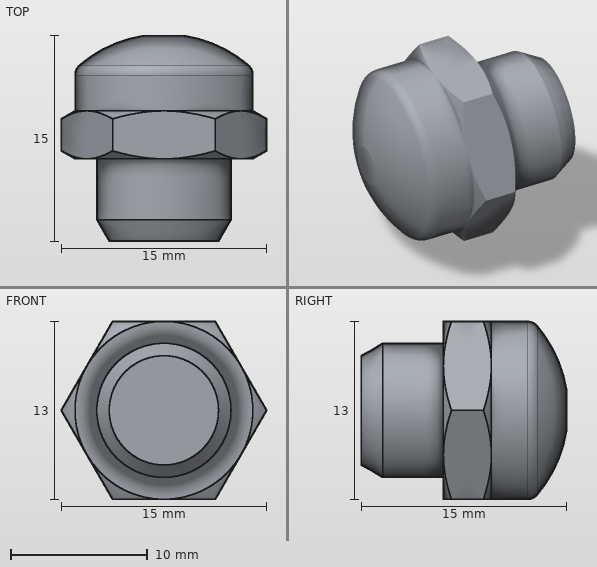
import cadquery as cq
import math

across_corners = 15.01
hex_thickness = 3.5
hex_chamfer_angle = 30.0
shank_diameter = 9.8
shank_length = 6.0
tip_diameter = 7.99
tip_length = 1.56
head_height = 5.5
dome_radius = 9.5
crown_flat_radius = 1.5
rim_radius = 0.95

corner_radius = across_corners / 2
head_radius = corner_radius * math.cos(math.radians(30))
shank_radius = shank_diameter / 2
tip_radius = tip_diameter / 2
head_top = hex_thickness + head_height


def revolve_profile(profile):
    """Turn a closed radius-height profile about the Y axis."""
    return profile.close().revolve(360, (0, 0, 0), (0, 1, 0))


def make_hex():
    """Hexagon with corners on X, with both faces chamfered by a cone."""
    drop = (corner_radius - head_radius) * math.tan(math.radians(hex_chamfer_angle))
    prism = cq.Workplane("XZ").polygon(6, across_corners).extrude(-hex_thickness)
    chamfer_envelope = revolve_profile(
        cq.Workplane("XY")
        .lineTo(head_radius, 0)
        .lineTo(corner_radius, drop)
        .lineTo(corner_radius, hex_thickness - drop)
        .lineTo(head_radius, hex_thickness)
        .lineTo(0, hex_thickness)
    )
    return prism.intersect(chamfer_envelope)


def make_shank():
    """Plain cylinder with a tapered tip."""
    return revolve_profile(
        cq.Workplane("XY")
        .lineTo(0, -shank_length)
        .lineTo(tip_radius, -shank_length)
        .lineTo(shank_radius, tip_length - shank_length)
        .lineTo(shank_radius, 0)
    )


def make_head():
    """Cylinder with a spherical dome and a rim arc tangent to both, cut flat at the crown."""
    crown_angle = math.acos(crown_flat_radius / dome_radius)
    dome_center = head_top - dome_radius * math.sin(crown_angle)
    rim_center_x = head_radius - rim_radius
    center_distance = dome_radius - rim_radius
    rim_angle = math.acos(rim_center_x / center_distance)
    rim_center_y = dome_center + center_distance * math.sin(rim_angle)
    dome_mid_angle = (rim_angle + crown_angle) / 2

    def rim_point(angle):
        return (
            rim_center_x + rim_radius * math.cos(angle),
            rim_center_y + rim_radius * math.sin(angle),
        )

    dome_middle = (
        dome_radius * math.cos(dome_mid_angle),
        dome_center + dome_radius * math.sin(dome_mid_angle),
    )
    return revolve_profile(
        cq.Workplane("XY")
        .moveTo(0, hex_thickness)
        .lineTo(head_radius, hex_thickness)
        .lineTo(*rim_point(0))
        .threePointArc(rim_point(rim_angle / 2), rim_point(rim_angle))
        .threePointArc(dome_middle, (crown_flat_radius, head_top))
        .lineTo(0, head_top)
    )


result = make_hex().union(make_shank()).union(make_head())